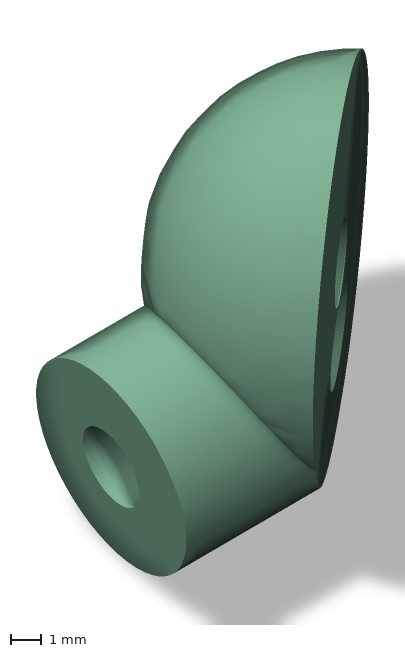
import cadquery as cq
import math

ball_radius = 7.0
stem_radius = 4.0
stem_end = 10.0
bore_radius = 1.5
face_offset = 0.5
face_angle = 45

stem_drop = ball_radius - stem_radius
through_length = 2 * (stem_end + ball_radius)

angle = math.radians(face_angle)
face_normal = cq.Vector(math.cos(angle), math.sin(angle), 0)
face_plane = cq.Plane(origin=face_normal * -face_offset, xDir=(0, 0, 1), normal=face_normal)


def cylinder_along_y(radius, length):
    """Cylinder on the stem axis, running in +Y from the stem's flat end."""
    end_plane = cq.Plane(origin=(0, -stem_end, -stem_drop), xDir=(1, 0, 0), normal=(0, 1, 0))
    return cq.Workplane(end_plane).circle(radius).extrude(length)


ball = cq.Workplane("XY").sphere(ball_radius)
stem = cylinder_along_y(stem_radius, stem_end)
trim = cq.Workplane(face_plane).rect(through_length, through_length).extrude(through_length)
body = ball.union(stem).cut(trim)

stem_bore = cylinder_along_y(bore_radius, through_length)
cross_hole = cq.Workplane(face_plane).circle(bore_radius).extrude(through_length, both=True)

result = body.cut(stem_bore).cut(cross_hole)